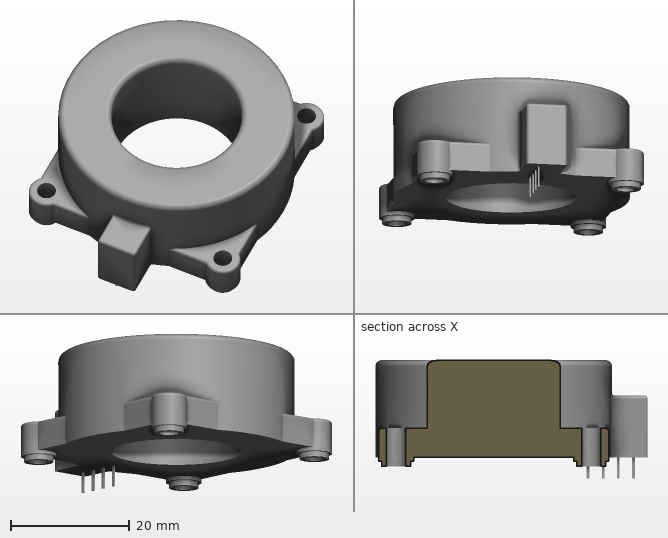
import cadquery as cq

RING_RADIUS = 20.0
BORE_RADIUS = 11.0
RING_HEIGHT = 16.5
RING_FILLET = 1.0

BASE_SIDE = 37.2
BASE_HEIGHT = 5.0
FOOT_SPACING = 33.0
FOOT_RADIUS = 3.0
FOOT_DROP = 0.6
TIP_RADIUS = 2.5
TIP_DROP = 1.5
FOOT_HOLE_DIAMETER = 3.2
EDGE_FILLET = 0.5

HOUSING_WIDTH = 7.0
HOUSING_CENTRE_X = 1.0
HOUSING_FRONT_Y = -26.0
HOUSING_HEIGHT = 10.5
HOUSING_ROOT_Y = -(RING_RADIUS + BORE_RADIUS) / 2

PIN_COUNT = 4
PIN_PITCH = 2.54
FIRST_PIN_Y = -23.6
PIN_WIDTH = 0.5
PIN_THICKNESS = 0.25
PIN_DROP = 3.5
PIN_EMBED = 1.0


def foot_centres():
    return cq.Workplane("XY").rect(FOOT_SPACING, FOOT_SPACING, forConstruction=True).vertices()


def make_base():
    plate = cq.Workplane("XY").rect(BASE_SIDE, BASE_SIDE).extrude(BASE_HEIGHT)
    bosses = foot_centres().circle(FOOT_RADIUS).extrude(BASE_HEIGHT)
    base = plate.union(bosses).faces(">Z").edges().fillet(EDGE_FILLET)
    feet = foot_centres().circle(FOOT_RADIUS).extrude(-FOOT_DROP)
    tips = foot_centres().circle(TIP_RADIUS).extrude(-TIP_DROP)
    return base.union(feet).union(tips)


def make_ring():
    ring = cq.Workplane("XY").circle(RING_RADIUS).extrude(RING_HEIGHT)
    return ring.faces(">Z").edges().fillet(RING_FILLET)


def make_housing():
    length = HOUSING_ROOT_Y - HOUSING_FRONT_Y
    housing = (
        cq.Workplane("XY")
        .center(HOUSING_CENTRE_X, HOUSING_FRONT_Y + length / 2)
        .rect(HOUSING_WIDTH, length)
        .extrude(HOUSING_HEIGHT)
    )
    return housing.edges("(<Y and |Z) or (>Z and (not >Y))").fillet(EDGE_FILLET)


def add_housing(ring):
    """Join the housing to the ring and fillet the seam where it meets the ring wall."""
    joined = ring.union(make_housing())
    margin = EDGE_FILLET
    seam = cq.selectors.BoxSelector(
        (HOUSING_CENTRE_X - HOUSING_WIDTH / 2 - margin, -RING_RADIUS - EDGE_FILLET, -margin),
        (HOUSING_CENTRE_X + HOUSING_WIDTH / 2 + margin, HOUSING_ROOT_Y, HOUSING_HEIGHT + margin),
    )
    bottom_edges = cq.selectors.DirectionMinMaxSelector(cq.Vector(0, 0, 1), False)
    return joined.edges(seam - bottom_edges).fillet(EDGE_FILLET)


def make_pins():
    centres = [(0, FIRST_PIN_Y + index * PIN_PITCH) for index in range(PIN_COUNT)]
    return (
        cq.Workplane("XY")
        .workplane(offset=-PIN_DROP)
        .pushPoints(centres)
        .rect(PIN_THICKNESS, PIN_WIDTH)
        .extrude(PIN_DROP + PIN_EMBED)
    )


def cut_bore(body):
    bored = body.cut(cq.Workplane("XY").circle(BORE_RADIUS).extrude(RING_HEIGHT))
    rim = cq.selectors.RadiusNthSelector(0)
    return bored.faces(">Z").edges(rim).fillet(RING_FILLET)


def cut_foot_holes(body):
    holes = (
        foot_centres()
        .circle(FOOT_HOLE_DIAMETER / 2)
        .extrude(BASE_HEIGHT + TIP_DROP)
        .translate((0, 0, -TIP_DROP))
    )
    return body.cut(holes)


body = add_housing(make_ring()).union(make_base())
body = cut_bore(body)
body = cut_foot_holes(body)
result = body.union(make_pins())